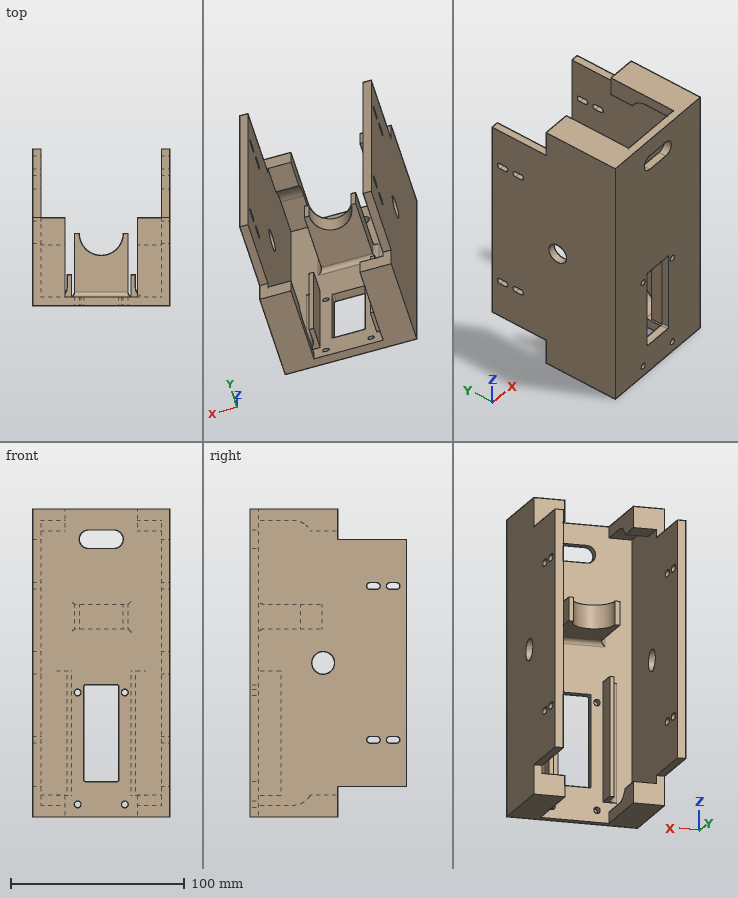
import cadquery as cq

width = 79.3
depth = 90.5
height = 177.8
front_thickness = 5.0
wall_thickness = 5.0

body_depth = 50.9
rear_inset = 17.6

opening_width = 41.6
flange_thickness = 12.8
flange_front_thickness = 6.8
relief_start_y = 35.0
relief_end_y = 25.0

strap_slot_length = 25.2
strap_slot_width = 10.5
strap_slot_z = 160.2
window_width = 20.1
window_bottom = 20.5
window_top = 76.3
window_corner_radius = 1.0
screw_diameter = 3.7
screw_spacing_x = 27.2
screw_heights = (7.3, 71.8)

axle_diameter = 13.0
axle_y = 42.3
side_slot_length = 7.6
side_slot_width = 3.7
side_slot_setbacks = (7.8, 19.2)
side_slot_spacing_z = 88.7

cradle_width = 31.0
cradle_top_y = 41.8
cradle_notch_radius = 12.6
cradle_bottom = 108.5
cradle_top = 122.7
cradle_fillet = 3.0
selection_margin = 0.2

rib_inner_x = 17.0
rib_thickness = 2.7
rib_depth = 13.0
rib_bottom = 12.5
rib_top = window_bottom + window_top - rib_bottom
rib_fillet = 5.7


def box(x_size, y_range, z_range):
    """Box centred on X = 0 that spans the given Y and Z ranges."""
    y_size = y_range[1] - y_range[0]
    z_size = z_range[1] - z_range[0]
    block = cq.Workplane("XY").box(x_size, y_size, z_size, centered=(True, False, False))
    return block.translate((0, y_range[0], z_range[0]))


def make_shell():
    """Front plate with two side walls."""
    outline = box(width, (0, body_depth), (0, height))
    outline = outline.union(box(width, (0, depth), (rear_inset, height - rear_inset)))
    inside = box(width - 2 * wall_thickness, (front_thickness, depth), (0, height))
    return outline.cut(inside)


def make_bottom_flanges():
    """Pair of flanges at the lower end, either side of the opening."""
    drop = flange_thickness - flange_front_thickness
    run = relief_start_y - relief_end_y
    radius = (run**2 + drop**2) / (2 * drop)
    middle_y = relief_end_y + run / 2
    middle_z = flange_front_thickness + radius - (radius**2 - (run / 2) ** 2) ** 0.5
    profile = (
        cq.Workplane("YZ")
        .moveTo(0, 0)
        .lineTo(body_depth, 0)
        .lineTo(body_depth, flange_thickness)
        .lineTo(relief_start_y, flange_thickness)
        .threePointArc((middle_y, middle_z), (relief_end_y, flange_front_thickness))
        .lineTo(0, flange_front_thickness)
        .close()
        .extrude(width / 2, both=True)
    )
    opening = box(opening_width, (front_thickness, depth), (0, height))
    return profile.cut(opening)


def make_cradle():
    """Block with a semicircular seat, blended into the front plate."""
    block = box(cradle_width, (front_thickness, cradle_top_y), (cradle_bottom, cradle_top))
    notch = (
        cq.Workplane("XY", origin=(0, cradle_top_y, 0))
        .circle(cradle_notch_radius)
        .extrude(height)
    )
    return block.cut(notch)


def make_rib():
    """Rib on the +X side of the window, with a rounded gusset on its outer side."""
    outer_x = rib_inner_x + rib_thickness
    bend = rib_fillet * (1 - 0.5**0.5)
    return (
        cq.Workplane("XY", origin=(0, 0, rib_bottom))
        .moveTo(rib_inner_x, 0)
        .lineTo(rib_inner_x, front_thickness + rib_depth)
        .lineTo(outer_x, front_thickness + rib_depth)
        .lineTo(outer_x, front_thickness + rib_fillet)
        .threePointArc(
            (outer_x + bend, front_thickness + bend),
            (outer_x + rib_fillet, front_thickness),
        )
        .lineTo(outer_x + rib_fillet, 0)
        .close()
        .extrude(rib_top - rib_bottom)
    )


def make_front_cutters():
    """Strap slot, window and screw holes through the front plate."""
    window = box(window_width, (0, front_thickness), (window_bottom, window_top))
    window = window.edges("|Y").fillet(window_corner_radius)
    strap_slot = (
        cq.Workplane("XZ")
        .center(0, strap_slot_z)
        .slot2D(strap_slot_length, strap_slot_width)
        .extrude(-front_thickness)
    )
    screw_points = [(side * screw_spacing_x / 2, z) for side in (-1, 1) for z in screw_heights]
    screws = (
        cq.Workplane("XZ").pushPoints(screw_points).circle(screw_diameter / 2).extrude(-front_thickness)
    )
    return window.union(strap_slot).union(screws)


def make_side_cutters():
    """Axle hole and adjustment slots through both side walls."""
    slot_points = [
        (depth - setback, height / 2 + side * side_slot_spacing_z / 2)
        for setback in side_slot_setbacks
        for side in (-1, 1)
    ]
    slots = (
        cq.Workplane("YZ")
        .pushPoints(slot_points)
        .slot2D(side_slot_length, side_slot_width)
        .extrude(width / 2, both=True)
    )
    axle = (
        cq.Workplane("YZ")
        .center(axle_y, height / 2)
        .circle(axle_diameter / 2)
        .extrude(width / 2, both=True)
    )
    return slots.union(axle)


cradle_foot = cq.selectors.BoxSelector(
    (-cradle_width, front_thickness - selection_margin, cradle_bottom - selection_margin),
    (cradle_width, front_thickness + selection_margin, cradle_top + selection_margin),
)
housing = make_shell().union(make_cradle())
housing = housing.edges(cradle_foot).fillet(cradle_fillet)

bottom_flanges = make_bottom_flanges()
top_flanges = bottom_flanges.mirror("XY", (0, 0, height / 2))
housing = housing.union(bottom_flanges).union(top_flanges)

rib = make_rib()
housing = housing.union(rib).union(rib.mirror("YZ"))

result = housing.cut(make_front_cutters()).cut(make_side_cutters())